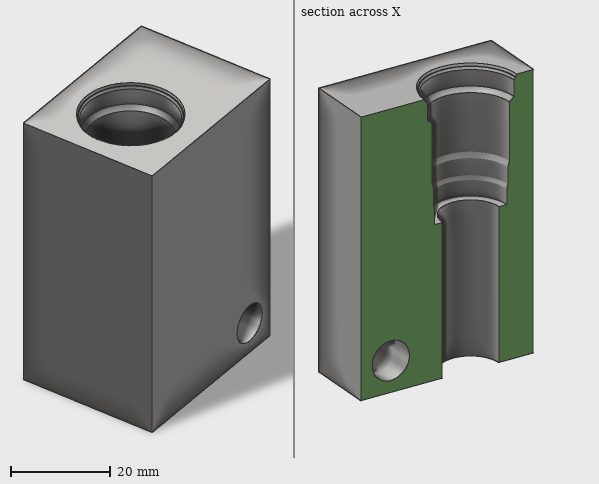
import cadquery as cq

width = 31.75
depth = 41.15
height = 63.5

cavity_from_front = 15.0
mouth_radius = 10.9
throat_radius = 10.7
throat_depth = 0.6
throat_step = 0.2
seat_radius = 10.3
seat_depth = 1.15
collar_depth = 4.8
bore_radius = 9.2
bore_start_depth = 5.8
bore_end_depth = 19.05
lower_bore_start_depth = 20.3
lower_bore_radius = 8.8
lower_bore_end_depth = 24.1
pilot_start_depth = 25.1
pilot_radius = 8.6
floor_depth = 28.6
through_radius = 6.7

cross_hole_diameter = 8.75
cross_hole_from_back = 7.1
cross_hole_from_bottom = 7.2

cavity_y = cavity_from_front - depth / 2
cross_hole_y = depth / 2 - cross_hole_from_back


def make_block():
    """Block centred on X and Y, standing on Z = 0."""
    return cq.Workplane("XY").box(width, depth, height, centered=(True, True, False))


def make_cavity():
    """Revolved tool: each profile point is a radius and a height, from the bottom face up."""
    profile = [
        (0, 0),
        (through_radius, 0),
        (through_radius, height - floor_depth),
        (pilot_radius, height - floor_depth),
        (pilot_radius, height - pilot_start_depth),
        (lower_bore_radius, height - lower_bore_end_depth),
        (lower_bore_radius, height - lower_bore_start_depth),
        (bore_radius, height - bore_end_depth),
        (bore_radius, height - bore_start_depth),
        (seat_radius, height - collar_depth),
        (seat_radius, height - seat_depth),
        (throat_radius - throat_step, height - throat_depth),
        (throat_radius, height - throat_depth),
        (mouth_radius, height),
        (0, height),
    ]
    tool = cq.Workplane("XZ").polyline(profile).close().revolve(360, (0, 0, 0), (0, 1, 0))
    return tool.translate((0, cavity_y, 0))


def make_cross_hole():
    """Cylinder through the full width of the block."""
    left_face = cq.Workplane("YZ", origin=(-width / 2, 0, 0))
    circle = left_face.center(cross_hole_y, cross_hole_from_bottom).circle(cross_hole_diameter / 2)
    return circle.extrude(width)


result = make_block().cut(make_cavity()).cut(make_cross_hole())